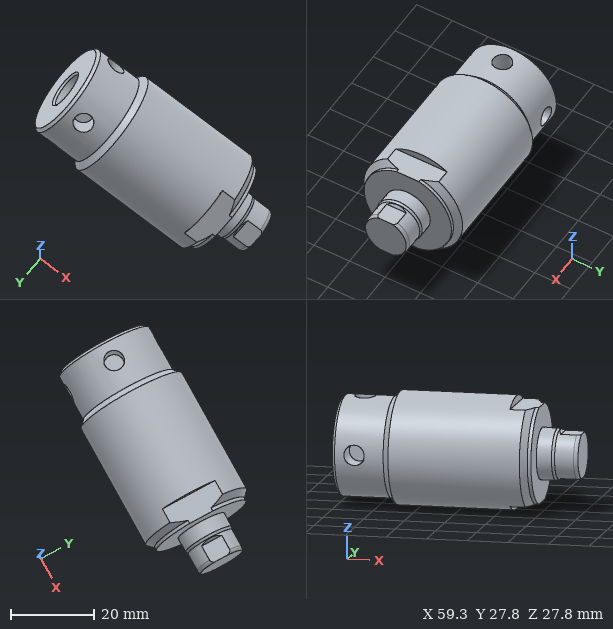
import cadquery as cq

LENGTH = 59.25
BODY_RADIUS = 13.9
NECK_RADIUS = 12.4
NECK_CHAMFER = 0.75
NECK_END = 12.75
BODY_START = NECK_END + (BODY_RADIUS - NECK_RADIUS)
RIM_RADIUS = 12.3
RIM_START = 48.2
RIM_END = 49.1
BODY_END = RIM_START - (BODY_RADIUS - RIM_RADIUS)

STUB_RADIUS = 6.35
STUB_END = 52.85
TIP_RADIUS = 6.1
TIP_START = 53.55
TIP_ROUND_LENGTH = 1.0
TIP_ROUND_DROP = 0.35

BODY_FLAT_START = 42.8
BODY_FLAT_HEIGHT = 11.9
TIP_FLAT_START = 54.3
TIP_FLAT_HEIGHT = 5.45

BORE_RADIUS = 4.45
BORE_DEPTH = 17.75
BORE_CHAMFER = 0.55

SPANNER_HOLE_RADIUS = 2.5
SPANNER_HOLE_X = 5.55
SPANNER_HOLE_DEPTH = 5.9
SPANNER_HOLE_COUNT = 4


def make_turned_body():
    """Revolve the stepped half profile around the X axis."""
    return (
        cq.Workplane("XY")
        .moveTo(0, 0)
        .lineTo(0, NECK_RADIUS - NECK_CHAMFER)
        .lineTo(NECK_CHAMFER, NECK_RADIUS)
        .lineTo(NECK_END, NECK_RADIUS)
        .lineTo(BODY_START, BODY_RADIUS)
        .lineTo(BODY_END, BODY_RADIUS)
        .lineTo(RIM_START, RIM_RADIUS)
        .lineTo(RIM_END, RIM_RADIUS)
        .lineTo(RIM_END, STUB_RADIUS)
        .lineTo(STUB_END, STUB_RADIUS)
        .lineTo(TIP_START, TIP_RADIUS)
        .lineTo(LENGTH - TIP_ROUND_LENGTH, TIP_RADIUS)
        .tangentArcPoint((LENGTH, TIP_RADIUS - TIP_ROUND_DROP), relative=False)
        .lineTo(LENGTH, 0)
        .close()
        .revolve(360, (0, 0, 0), (1, 0, 0))
    )


def make_flat_cutter(start, end, height, top, sloped=False):
    """Material between a flat and the given top; a sloped start rises at 45 degrees."""
    run_in = top - height if sloped else 0.0
    return (
        cq.Workplane("XZ")
        .polyline([
            (start, height),
            (end, height),
            (end, top),
            (start - run_in, top),
        ])
        .close()
        .extrude(BODY_RADIUS, both=True)
    )


def make_bore():
    """Blind bore with a countersunk mouth."""
    return (
        cq.Workplane("XY")
        .moveTo(0, 0)
        .lineTo(0, BORE_RADIUS + BORE_CHAMFER)
        .lineTo(BORE_CHAMFER, BORE_RADIUS)
        .lineTo(BORE_DEPTH, BORE_RADIUS)
        .lineTo(BORE_DEPTH, 0)
        .close()
        .revolve(360, (0, 0, 0), (1, 0, 0))
    )


def make_spanner_hole(angle):
    """Flat-bottomed radial hole turned about the X axis."""
    floor = NECK_RADIUS - SPANNER_HOLE_DEPTH
    return (
        cq.Workplane("XY", origin=(SPANNER_HOLE_X, 0, floor))
        .circle(SPANNER_HOLE_RADIUS)
        .extrude(BODY_RADIUS - floor)
        .rotate((0, 0, 0), (1, 0, 0), angle)
    )


result = make_turned_body().cut(make_bore())

for index in range(SPANNER_HOLE_COUNT):
    result = result.cut(make_spanner_hole(index * 360 / SPANNER_HOLE_COUNT))

body_flat = make_flat_cutter(BODY_FLAT_START, RIM_END, BODY_FLAT_HEIGHT, BODY_RADIUS)
tip_flat = make_flat_cutter(TIP_FLAT_START, LENGTH, TIP_FLAT_HEIGHT, STUB_RADIUS, sloped=True)
for flat in (body_flat, tip_flat):
    result = result.cut(flat).cut(flat.mirror("XY"))